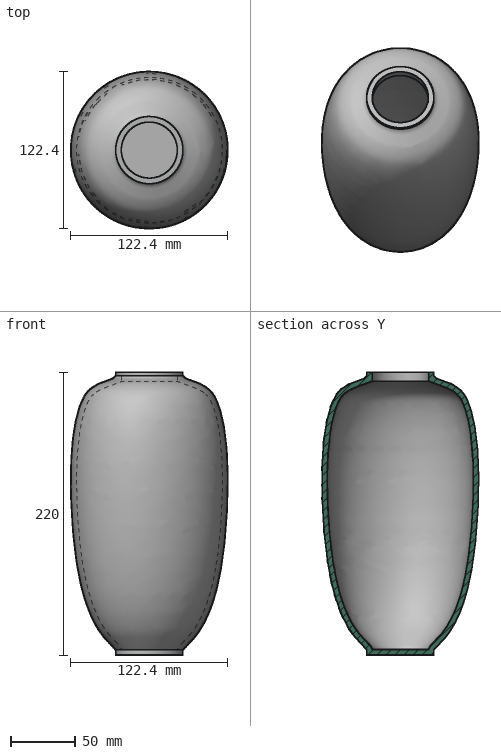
import cadquery as cq

height = 220.0
max_radius = 61.2
rim_radius = 26.2
wall = 4.5
foot_height = 4.0
neck_height = 2.6
bore_radius = rim_radius - wall
neck_bottom = height - neck_height

body_points = [
    (rim_radius, foot_height),
    (36.3, 15.0),
    (45.5, 30.8),
    (55.0, 62.7),
    (59.8, 101.2),
    (max_radius, 138.5),
    (58.7, 173.8),
    (52.4, 198.0),
    (45.5, 207.2),
    (39.5, 211.0),
    (29.5, 214.7),
]
shoulder_slope = (-2.6, 1.0)
body_tangents = [(1, 1), shoulder_slope]
wall_samples = 30


def body_curve():
    """Outer body curve from the foot up to the shoulder."""
    points = [cq.Vector(r, z) for r, z in body_points]
    tangents = [cq.Vector(r, z) for r, z in body_tangents]
    return cq.Edge.makeSpline(points, tangents=tangents)


def inner_points():
    """Points one wall thickness inside the outer body curve."""
    curve = body_curve()
    points = []
    for i in range(wall_samples + 1):
        position = curve.positionAt(i / wall_samples)
        tangent = curve.tangentAt(i / wall_samples)
        points.append((position.x - wall * tangent.y, position.y + wall * tangent.x))
    return points


def revolve_profile(profile):
    return profile.close().revolve(360, (0, 0, 0), (0, 1, 0))


def outer_solid():
    profile = (
        cq.Workplane("XZ")
        .lineTo(rim_radius, 0)
        .lineTo(rim_radius, foot_height)
        .spline(body_points[1:], tangents=body_tangents, includeCurrent=True)
        .tangentArcPoint((rim_radius, neck_bottom), relative=False)
        .lineTo(rim_radius, height)
        .lineTo(0, height)
    )
    return revolve_profile(profile)


def cavity():
    """Interior with a flat floor, an even wall and a straight bore through the neck."""
    points = inner_points()
    shoulder_radius, shoulder_z = points[-1]
    rise = (bore_radius - shoulder_radius) * shoulder_slope[1] / shoulder_slope[0]
    profile = (
        cq.Workplane("XZ")
        .moveTo(0, wall)
        .lineTo(bore_radius, wall)
        .lineTo(*points[0])
        .spline(points[1:], includeCurrent=True)
        .lineTo(bore_radius, shoulder_z + rise)
        .lineTo(bore_radius, height)
        .lineTo(0, height)
    )
    return revolve_profile(profile)


result = outer_solid().cut(cavity())